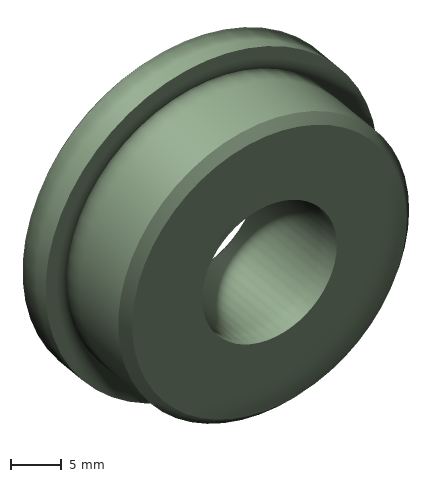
import cadquery as cq

flange_diameter = 40.0
flange_thickness = 5.0
spigot_diameter = 35.0
spigot_length = 10.0
bore_diameter = 16.2
chamfer = 1.0

total_length = flange_thickness + spigot_length


def cylinder(diameter, length):
    """Cylinder along +X, starting at X = 0."""
    return cq.Workplane("YZ").circle(diameter / 2).extrude(length)


flange = cylinder(flange_diameter, flange_thickness).faces("<X").chamfer(chamfer)
spigot = cylinder(spigot_diameter, total_length).faces(">X").chamfer(chamfer)

bore = cylinder(bore_diameter, total_length)
bored_body = flange.union(spigot).cut(bore)
mouth_edge = cq.selectors.RadiusNthSelector(0)
result = bored_body.faces("<X").edges(mouth_edge).chamfer(chamfer)